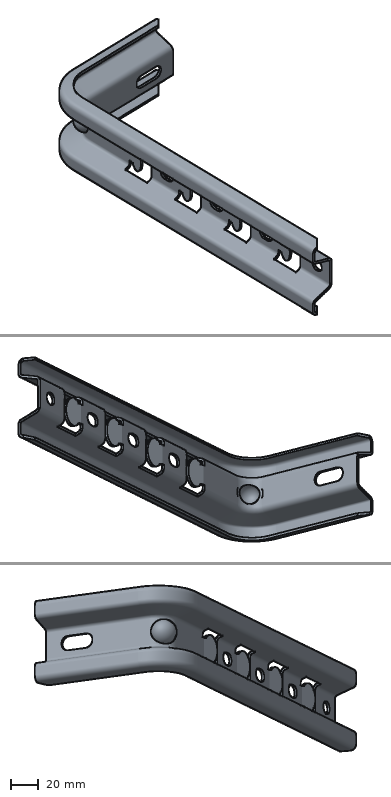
import cadquery as cq
import math

long_arm = 274.0
short_arm = 115.0
height = 63.3
depth = 19.2
sheet = 2.0
corner_radius = 31.5
bend_axis = (corner_radius, corner_radius, 0)

web_half_height = 11.5
side_tilt = 17.0
lip_depth = 10.1
lip_flare = 12.5
web_bend_radius = 2.6
side_bend_radius = 3.5
lip_bend_radius = 4.5
lip_end_chamfer = 5.8

window_count = 4
first_window_x = 72.0
last_window_x = 222.0
pitch = (last_window_x - first_window_x) / (window_count - 1)
window_width = 22.2
window_floor = 13.0
tongue_root_half = 7.5
tongue_root_offset = 2.0
tongue_centre_offset = 8.5
tongue_half_width = 6.5
tongue_half_height = 10.7
tongue_tilt = 15.0
slot_offset = 37.5
slot_length = 12.3
hole_diameter = 9.3
end_hole_x = 261.0

wall_slot_y = 90.1
wall_slot_length = 25.0
wall_slot_width = 10.7

dome_radius = 9.3


def left_normal(start, end):
    """Unit vector pointing left of the direction of travel."""
    length = math.dist(start, end)
    return (start[1] - end[1]) / length, (end[0] - start[0]) / length


def offset_path(points, distance):
    """Shift an open path to its left, with mitred corners."""
    normals = [left_normal(a, b) for a, b in zip(points, points[1:])]
    before = normals[:1] + normals
    after = normals + normals[-1:]
    shifted = []
    for (x, y), (ax, ay), (bx, by) in zip(points, before, after):
        scale = distance / (1 + ax * bx + ay * by)
        shifted.append((x + scale * (ax + bx), y + scale * (ay + by)))
    return shifted


def toward(start, end, distance):
    """Point at a distance from start, on the line to end."""
    ratio = distance / math.dist(start, end)
    return start[0] + ratio * (end[0] - start[0]), start[1] + ratio * (end[1] - start[1])


def draw_rounded(sketch, points, radii):
    """Continue the sketch along a path, rounding each inner corner with a tangent arc."""
    for before, corner, after, radius in zip(points, points[1:], points[2:], radii):
        ux, uy = left_normal(before, corner)
        vx, vy = left_normal(corner, after)
        setback = radius * math.tan(math.acos(ux * vx + uy * vy) / 2)
        sketch = sketch.lineTo(*toward(corner, before, setback))
        sketch = sketch.tangentArcPoint(toward(corner, after, setback), relative=False)
    return sketch.lineTo(*points[-1])


def bent_channel():
    """Hat section swept along the long arm, round the bend and up the short arm."""
    web_face = depth - sheet
    side_front = web_half_height + web_face * math.tan(math.radians(side_tilt))
    lip_front = height / 2 - lip_depth * math.tan(math.radians(lip_flare))
    half = [
        (web_face, web_half_height),
        (0, side_front),
        (0, lip_front),
        (lip_depth, height / 2),
    ]
    face = [(y, -z) for y, z in reversed(half)] + half
    half_radii = [web_bend_radius, side_bend_radius, lip_bend_radius]
    face_radii = half_radii[::-1] + half_radii
    half_back = [web_bend_radius + sheet, side_bend_radius - sheet, lip_bend_radius - sheet]
    back_radii = half_back[::-1] + half_back
    back = offset_path(face, -sheet)

    section = cq.Workplane("YZ", origin=(long_arm, 0, 0)).moveTo(*face[0])
    section = draw_rounded(section, face, face_radii)
    section = section.lineTo(*back[-1])
    section = draw_rounded(section, back[::-1], back_radii).close()
    path = (
        cq.Workplane("XY")
        .moveTo(long_arm, 0)
        .lineTo(corner_radius, 0)
        .tangentArcPoint((0, corner_radius), relative=False)
        .lineTo(0, short_arm)
    )
    return section.sweep(path)


def lip_end_bevels():
    """Wedges that bevel the free corners of both lips at both ends."""
    leg = 2 * lip_end_chamfer
    back = lip_depth - lip_end_chamfer + leg
    long_end = [(long_arm - leg, back), (long_arm, back), (long_arm, back - leg)]
    short_end = [(back, short_arm - leg), (back, short_arm), (back - leg, short_arm)]
    lip_zone = height / 3
    wedges = cq.Workplane("XY", origin=(0, 0, lip_zone))
    wedges = wedges.polyline(long_end).close().polyline(short_end).close().extrude(height)
    return wedges.union(wedges.mirror("XY"))


def window_cutter(x):
    """Opening across the whole web, leaving the root of the tongue standing."""
    opening = cq.Workplane("XY").box(
        window_width, depth, height, centered=(False, False, True)
    ).translate((x, window_floor, 0))
    root = cq.Workplane("XY").box(
        tongue_root_offset, 2 * depth, 2 * tongue_root_half, centered=(False, False, True)
    ).translate((x, 0, 0))
    return opening.cut(root)


def tongue(x):
    """Oval tongue bent from the web toward the outside face."""
    root_x = x + tongue_root_offset
    reach = window_width - tongue_root_offset
    drop = reach * math.tan(math.radians(tongue_tilt))
    plate = (
        cq.Workplane("XY")
        .moveTo(root_x, depth)
        .line(reach, -drop)
        .line(0, -sheet)
        .line(-reach, drop)
        .close()
        .extrude(tongue_half_height, both=True)
    )
    centre_x = x + tongue_centre_offset
    neck_length = centre_x - root_x
    oval = (
        cq.Workplane("XZ", origin=(centre_x, 0, 0))
        .ellipse(tongue_half_width, tongue_half_height)
        .extrude(-2 * depth)
    )
    neck = cq.Workplane("XY").box(
        neck_length, 2 * depth, 2 * tongue_root_half, centered=(False, False, True)
    ).translate((root_x, 0, 0))
    return plate.intersect(oval.union(neck))


def round_punch(radius):
    """Round-nosed post: a half ball on top of a cylinder that reaches into the bend."""
    post = (
        cq.Workplane("XY")
        .moveTo(-radius / 2, 0)
        .lineTo(radius, 0)
        .radiusArc((0, radius), -radius)
        .lineTo(-radius / 2, radius)
        .close()
        .revolve(360, (0, 0), (1, 0))
    )
    back_radius = corner_radius - depth
    return post.translate((back_radius, 0, 0)).rotate((0, 0, 0), (0, 0, 1), 225).translate(bend_axis)


window_starts = [first_window_x + i * pitch for i in range(window_count)]
through_web = cq.Workplane("XZ")

bracket = bent_channel().cut(lip_end_bevels())
for start in window_starts:
    bracket = bracket.cut(window_cutter(start)).union(tongue(start))

for start in window_starts[:-1]:
    slot = through_web.center(start + slot_offset, 0).slot2D(slot_length, hole_diameter)
    bracket = bracket.cut(slot.extrude(-2 * depth))
end_hole = through_web.center(end_hole_x, 0).circle(hole_diameter / 2)
bracket = bracket.cut(end_hole.extrude(-2 * depth))

wall_slot = cq.Workplane("YZ").center(wall_slot_y, 0).slot2D(wall_slot_length, wall_slot_width)
bracket = bracket.cut(wall_slot.extrude(2 * depth))

inside_bend = cq.Workplane("XY").circle(corner_radius - depth).extrude(height / 2, both=True)
dome = round_punch(dome_radius).cut(inside_bend.translate(bend_axis))
result = bracket.union(dome).cut(round_punch(dome_radius - sheet))